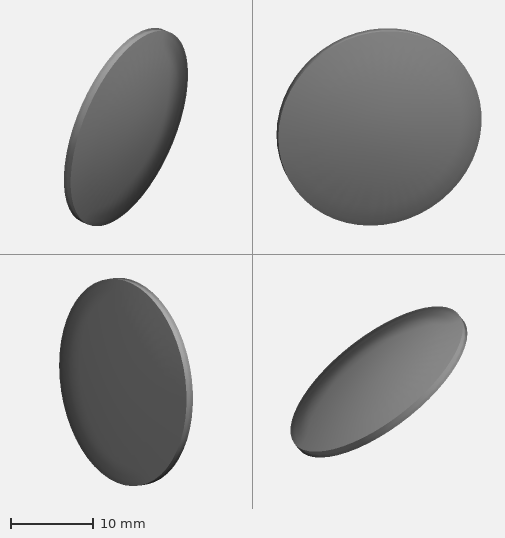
import cadquery as cq

diameter = 25.4
center_thickness = 3.95
edge_thickness = 1.0

radius = diameter / 2
half_center = center_thickness / 2
half_edge = edge_thickness / 2

sag = half_center - half_edge
face_radius = (radius**2 + sag**2) / (2 * sag)

mid_height = radius / 2
mid_drop = face_radius - (face_radius**2 - mid_height**2) ** 0.5
mid_x = half_center - mid_drop

half_section = (
    cq.Workplane("XY")
    .moveTo(-half_center, 0)
    .threePointArc((-mid_x, mid_height), (-half_edge, radius))
    .lineTo(half_edge, radius)
    .threePointArc((mid_x, mid_height), (half_center, 0))
    .close()
)

result = half_section.revolve(360, (0, 0, 0), (1, 0, 0))